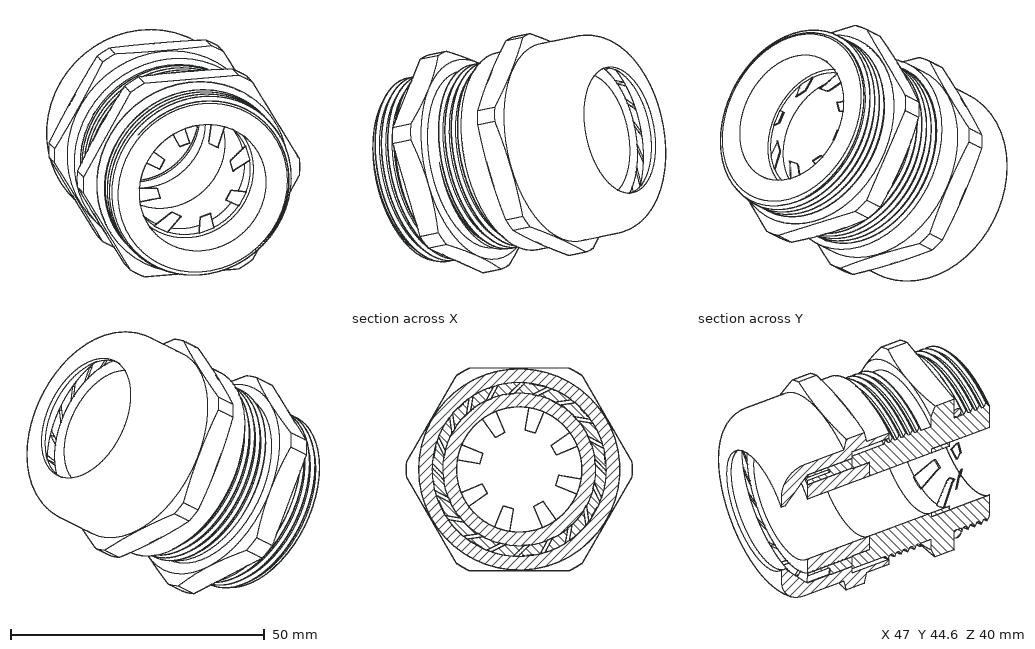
import cadquery as cq
import math


total_length = 47.03
bore_radius = 24.64 / 2

cap_radius = 39.7 / 2
cap_length = 24.35
cap_face_radius = 29.23 / 2
nose_radius = cap_radius - cap_face_radius
cap_hole_radius = 25.22 / 2
cap_lip_length = 1.0

hex_across_flats = 40.0
hex_sides = 6
hex_chamfer_radius = hex_across_flats / 2
cap_hex_start = 14.13
cap_hex_length = 5.16
cap_hex_corner_radius = 44.59 / 2
cap_hex_chamfer_length = 0.55
body_hex_start = 33.75
body_hex_end = 39.05
body_hex_corner_radius = 44.4 / 2
body_hex_chamfer_length = 0.97

thread_pitch = 1.5
thread_root_radius = 35.48 / 2
thread_crest_radius = 37.04 / 2
tooth_root_width = 1.0
tooth_crest_width = 0.12
tooth_embed = 0.2
cap_thread_clearance = 0.05
cap_thread_phase = 22.7
cap_thread_start = 23.0
cap_thread_end = 31.5
mounting_thread_phase = 39.3
end_chamfer_radius = 17.36
end_chamfer_length = 0.8

seal_start = 5.93
seal_end = 20.0
seal_radius = 30.04 / 2
cage_radius = 17.1
cage_end = 16.0
cage_slot_count = 20
cage_slot_width = 0.65
cage_slot_depth = 5.0
cage_slot_angle = -19.3
cage_slot_slant = 47.0
cage_slot_length = 12.0

o_ring_section_radius = 0.93
o_ring_end = 40.6
o_ring_center_x = o_ring_end - o_ring_section_radius
o_ring_center_radius = thread_root_radius + o_ring_section_radius

spring_radius = 26.0 / 2
spring_start = 34.0
spring_end = 38.0
finger_count = 8
finger_first_angle = 16.0
finger_root_width = 3.15
finger_end_width = 2.15
finger_end_radius = 7.75
finger_lip_height = 0.4
finger_thickness = 0.3
finger_slope = 52.0
finger_lip_slope = 35.0


def ring(start, end, inner_radius, outer_radius):
    """Plain tube around the X axis."""
    tube = cq.Workplane("YZ").workplane(offset=start).circle(outer_radius)
    if inner_radius > 0:
        tube = tube.circle(inner_radius)
    return tube.extrude(end - start)


def turned(profile):
    """Revolve a closed (x, radius) profile around the X axis."""
    return profile.revolve(360, (0, 0, 0), (1, 0, 0))


def hexagon(start, end, corner_radius, chamfer_length, chamfer_both_ends):
    """Hexagon with flats facing +Z and -Z, turned to a round corner bar with conical end chamfers."""
    prism = (
        cq.Workplane("YZ").workplane(offset=start)
        .polygon(hex_sides, hex_across_flats, circumscribed=True)
        .extrude(end - start)
        .rotate((0, 0, 0), (1, 0, 0), 180 / hex_sides)
    )
    outline = (
        cq.Workplane("XY").moveTo(start, 0)
        .lineTo(start, hex_chamfer_radius)
        .lineTo(start + chamfer_length, corner_radius)
    )
    if chamfer_both_ends:
        outline = outline.lineTo(end - chamfer_length, corner_radius).lineTo(end, hex_chamfer_radius)
    else:
        outline = outline.lineTo(end, corner_radius)
    return prism.intersect(turned(outline.lineTo(end, 0).close()))


def thread_ridge(phase, length):
    """Right-handed helical ridge that starts on the -Z side at X = phase."""
    base_radius = thread_root_radius - tooth_embed
    flank_slope = (tooth_root_width - tooth_crest_width) / 2 / (thread_crest_radius - thread_root_radius)
    base_half_width = tooth_root_width / 2 + tooth_embed * flank_slope
    helix = cq.Workplane(cq.Wire.makeHelix(thread_pitch, length, base_radius))
    ridge = (
        cq.Workplane("XZ")
        .moveTo(base_radius, -base_half_width)
        .lineTo(thread_crest_radius, -tooth_crest_width / 2)
        .lineTo(thread_crest_radius, tooth_crest_width / 2)
        .lineTo(base_radius, base_half_width)
        .close()
        .sweep(helix, isFrenet=True)
    )
    return ridge.rotate((0, 0, 0), (0, 1, 0), 90).translate((phase, 0, 0))


def make_cap_nut():
    thread_bore_radius = thread_crest_radius + cap_thread_clearance
    shell = turned(
        cq.Workplane("XY").moveTo(0, cap_hole_radius)
        .lineTo(0, cap_face_radius)
        .radiusArc((nose_radius, cap_radius), nose_radius)
        .lineTo(cap_length, cap_radius)
        .lineTo(cap_length, thread_bore_radius)
        .lineTo(cage_end, thread_bore_radius)
        .lineTo(cage_end, cage_radius)
        .lineTo(seal_start, cage_radius)
        .lineTo(cap_lip_length, cap_hole_radius)
        .close()
    )
    cap_hex_end = cap_hex_start + cap_hex_length
    grip = hexagon(
        cap_hex_start, cap_hex_end, cap_hex_corner_radius,
        cap_hex_chamfer_length, True,
    )
    core = ring(cap_hex_start, cap_hex_end, 0, (cap_radius + thread_bore_radius) / 2)
    return shell.union(grip.cut(core))


def make_cage():
    """Clamping cage: a ring whose front is split into lamellas by slanted slots."""
    cage = ring(seal_start, cage_end, seal_radius, cage_radius)
    slot = (
        cq.Workplane("YZ").workplane(offset=seal_start)
        .rect(cage_slot_length, cage_slot_width)
        .extrude(cage_slot_depth)
        .rotate((0, 0, 0), (1, 0, 0), cage_slot_slant)
        .translate((0, (seal_radius + cage_radius) / 2, 0))
    )
    for index in range(cage_slot_count):
        angle = cage_slot_angle + index * 360 / cage_slot_count
        cage = cage.cut(slot.rotate((0, 0, 0), (1, 0, 0), angle))
    return cage


def make_seal():
    return ring(seal_start, seal_end, bore_radius, seal_radius)


def make_body():
    core = turned(
        cq.Workplane("XY").moveTo(cage_end, seal_radius)
        .lineTo(cage_end, thread_root_radius)
        .lineTo(total_length, thread_root_radius)
        .lineTo(total_length, spring_radius)
        .lineTo(spring_start, spring_radius)
        .lineTo(spring_start, bore_radius)
        .lineTo(seal_end, bore_radius)
        .lineTo(seal_end, seal_radius)
        .close()
    )
    grip = hexagon(
        body_hex_start, body_hex_end, body_hex_corner_radius,
        body_hex_chamfer_length, False,
    ).cut(ring(body_hex_start, body_hex_end, 0, (spring_radius + thread_root_radius) / 2))
    cap_thread = thread_ridge(cap_thread_phase, cap_thread_end - cap_thread_phase + thread_pitch)
    cap_thread = cap_thread.intersect(ring(cap_thread_start, cap_thread_end, seal_radius, cap_radius))
    mounting_thread = thread_ridge(
        mounting_thread_phase, total_length - mounting_thread_phase + thread_pitch)
    mounting_thread = mounting_thread.intersect(ring(o_ring_end, total_length, seal_radius, cap_radius))
    body = core.union(grip).union(cap_thread).union(mounting_thread)
    chamfer = turned(
        cq.Workplane("XY").moveTo(total_length, end_chamfer_radius)
        .lineTo(total_length, cap_radius)
        .lineTo(total_length - end_chamfer_length, cap_radius)
        .lineTo(total_length - end_chamfer_length, thread_crest_radius)
        .close()
    )
    return body.cut(chamfer)


def make_o_ring():
    round_ring = turned(
        cq.Workplane("XY").center(o_ring_center_x, 0)
        .moveTo(0, o_ring_center_radius).circle(o_ring_section_radius)
        .center(-o_ring_center_x, 0)
    )
    return round_ring.intersect(ring(body_hex_end, total_length, 0, cap_radius))


def make_contact_spring():
    """Ring with trapezoid fingers that lean inward toward +X and end in a short flatter lip."""
    spring = ring(spring_start, spring_end, bore_radius, spring_radius)
    lip_outer_radius = finger_end_radius + finger_lip_height
    lip_x = spring_end + (bore_radius - lip_outer_radius) / math.tan(math.radians(finger_slope))
    tip_x = lip_x + finger_lip_height / math.tan(math.radians(finger_lip_slope))
    side_profile = (
        cq.Workplane("XZ").moveTo(spring_end, spring_radius)
        .lineTo(spring_end - finger_thickness, spring_radius)
        .lineTo(spring_end - finger_thickness, bore_radius)
        .lineTo(lip_x - finger_thickness, lip_outer_radius)
        .lineTo(tip_x - finger_thickness, finger_end_radius)
        .lineTo(tip_x, finger_end_radius)
        .lineTo(lip_x, lip_outer_radius)
        .lineTo(spring_end, bore_radius)
        .close()
        .extrude(finger_root_width, both=True)
    )
    front_outline = (
        cq.Workplane("YZ").workplane(offset=spring_start)
        .moveTo(-finger_end_width / 2, finger_end_radius)
        .lineTo(finger_end_width / 2, finger_end_radius)
        .lineTo(finger_root_width / 2, bore_radius)
        .lineTo(-finger_root_width / 2, bore_radius)
        .close()
        .extrude(total_length - spring_start)
    )
    finger = side_profile.intersect(front_outline)
    for index in range(finger_count):
        angle = finger_first_angle + index * 360 / finger_count
        spring = spring.union(finger.rotate((0, 0, 0), (1, 0, 0), angle))
    return spring


cap_nut = make_cap_nut()
cage = make_cage()
seal = make_seal()
body = make_body()
o_ring = make_o_ring()
contact_spring = make_contact_spring()

bodies = [cap_nut, cage, seal, body, o_ring, contact_spring]
result = cq.Compound.makeCompound([part.solids().val() for part in bodies])